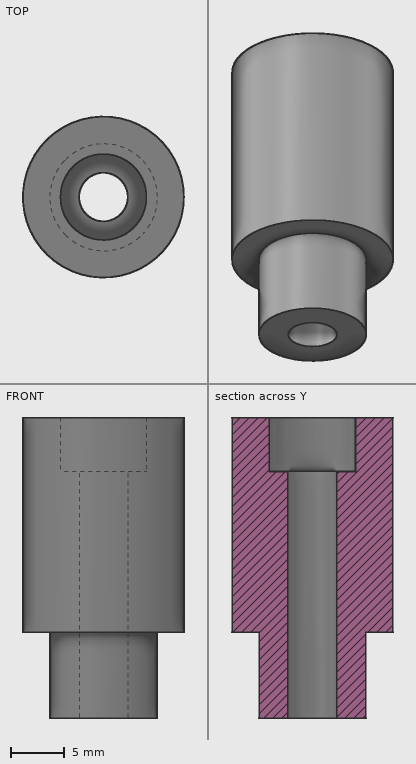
import cadquery as cq

total_height = 28.0
body_diameter = 15.0
stem_diameter = 10.0
stem_length = 8.0
counterbore_diameter = 8.0
counterbore_depth = 5.0
through_hole_diameter = 4.5

body_height = total_height - stem_length

stem = cq.Workplane("XY").circle(stem_diameter / 2).extrude(stem_length)

stepped_body = stem.faces(">Z").workplane().circle(body_diameter / 2).extrude(body_height)

result = stepped_body.faces(">Z").workplane().cboreHole(
    through_hole_diameter, counterbore_diameter, counterbore_depth
)